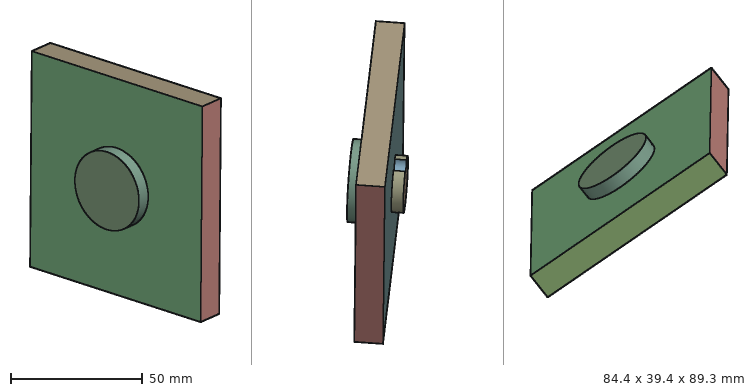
import cadquery as cq

plate_width = 85.06
plate_height = 88.94
plate_thickness = 11.08

pad_diameter = 31.97
pad_height = 5.5

disc_diameter = 21.97
disc_height = 4.5
notch_diameter = 5.97

sideways_lean = 0.16
backward_lean = -0.47
heading = -19.5

CENTRE = (0, 0, 0)
X_AXIS = (1, 0, 0)
Y_AXIS = (0, 1, 0)
Z_AXIS = (0, 0, 1)


def build_plate():
    """Plain plate standing upright, thin along Y."""
    return cq.Workplane("XY").box(plate_width, plate_thickness, plate_height)


def build_pad():
    """Round pad standing out of the middle of the front face."""
    front_face = cq.Workplane("XZ", origin=(0, -plate_thickness / 2, 0))
    return front_face.circle(pad_diameter / 2).extrude(pad_height)


def build_notched_disc():
    """Disc standing out of the back face, with a round notch in the top of its rim."""
    disc_radius = disc_diameter / 2
    back_face = cq.Workplane("XZ", origin=(0, plate_thickness / 2, 0))
    disc = back_face.circle(disc_radius).extrude(-disc_height)
    notch = back_face.center(0, disc_radius).circle(notch_diameter / 2).extrude(-disc_height)
    return disc.cut(notch)


def pose(body):
    """Turn the upright part into its final, slightly leaning position."""
    leaned_sideways = body.rotate(CENTRE, Y_AXIS, sideways_lean)
    leaned = leaned_sideways.rotate(CENTRE, X_AXIS, backward_lean)
    return leaned.rotate(CENTRE, Z_AXIS, heading)


upright_part = build_plate().union(build_pad()).union(build_notched_disc())
result = pose(upright_part)